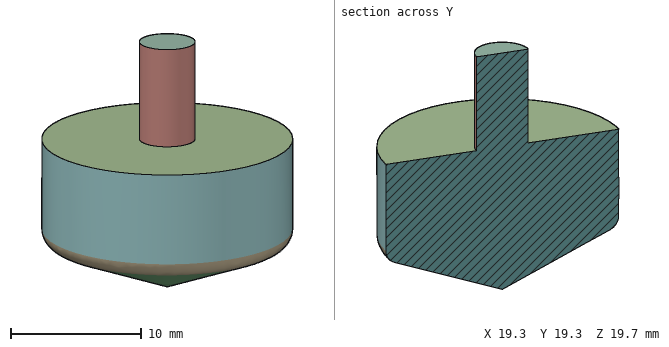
import cadquery as cq
import math

total_height = 19.7
body_diameter = 19.3
stem_diameter = 4.3
stem_length = 7.8
cone_slope = 22.0
edge_radius = 1.2

body_radius = body_diameter / 2
stem_radius = stem_diameter / 2
shoulder_height = total_height - stem_length
cone_height = body_radius * math.tan(math.radians(cone_slope))

body = (
    cq.Workplane("XZ")
    .moveTo(0, 0)
    .lineTo(body_radius, cone_height)
    .lineTo(body_radius, shoulder_height)
    .lineTo(0, shoulder_height)
    .close()
    .revolve(360, (0, 0, 0), (0, 1, 0))
)

lower_rim = cq.selectors.BoxSelector(
    (-body_diameter, -body_diameter, 0),
    (body_diameter, body_diameter, shoulder_height / 2),
    boundingbox=True,
)
body = body.edges("%CIRCLE").edges(lower_rim).fillet(edge_radius)

stem = cq.Workplane("XY").workplane(offset=shoulder_height).circle(stem_radius).extrude(stem_length)

result = body.union(stem)